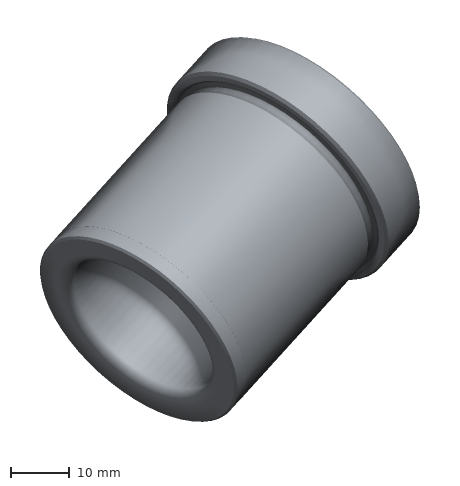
import cadquery as cq

total_length = 50.0
flange_diameter = 47.0
flange_length = 10.0
flange_chamfer = 0.5
body_diameter = 41.9
relief_diameter = 40.8
relief_width = 1.6
undercut_diameter = 43.7
undercut_bottom_diameter = 42.7
undercut_depth = 0.5
body_chamfer = 0.4
lead_diameter = 41.85
lead_length = 3.0
bore_diameter = 30.0
bore_rounding = 2.0

flange_radius = flange_diameter / 2
body_radius = body_diameter / 2
relief_radius = relief_diameter / 2
undercut_radius = undercut_diameter / 2
undercut_bottom_radius = undercut_bottom_diameter / 2
lead_radius = lead_diameter / 2
bore_radius = bore_diameter / 2

back = total_length
flange_face = back - flange_length
body_end = flange_face - relief_width
arc_inset = bore_rounding * (1 - 0.5**0.5)

profile = (
    cq.Workplane("XY")
    .moveTo(bore_radius + bore_rounding, 0)
    .lineTo(lead_radius - body_chamfer, 0)
    .lineTo(lead_radius, body_chamfer)
    .lineTo(lead_radius, lead_length)
    .lineTo(body_radius, lead_length)
    .lineTo(body_radius, body_end - body_chamfer)
    .lineTo(body_radius - body_chamfer, body_end)
    .lineTo(relief_radius, body_end)
    .lineTo(relief_radius, flange_face)
    .lineTo(undercut_bottom_radius, flange_face + undercut_depth)
    .lineTo(undercut_radius, flange_face)
    .lineTo(flange_radius - flange_chamfer, flange_face)
    .lineTo(flange_radius, flange_face + flange_chamfer)
    .lineTo(flange_radius, back - flange_chamfer)
    .lineTo(flange_radius - flange_chamfer, back)
    .lineTo(bore_radius, back)
    .lineTo(bore_radius, bore_rounding)
    .threePointArc((bore_radius + arc_inset, arc_inset), (bore_radius + bore_rounding, 0))
    .close()
)

result = profile.revolve(360, (0, 0, 0), (0, 1, 0))